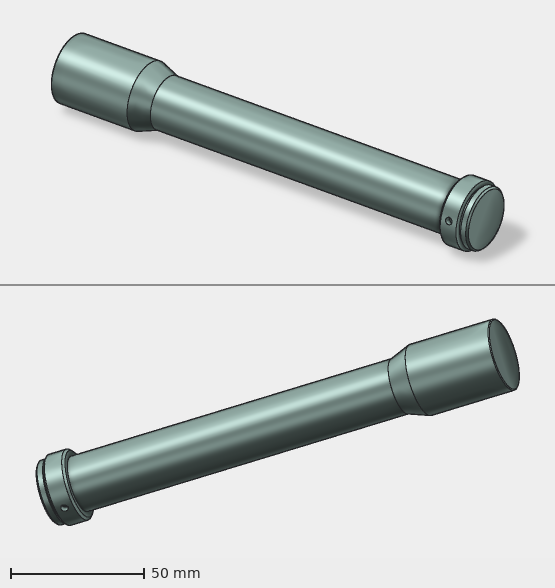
import cadquery as cq
import math

total_length = 188.0
head_length = 34.5
cone_length = 8.5
collar_start = 175.5
collar_end = 183.7
flange_start = 185.0

head_diameter = 28.0
head_radius = head_diameter / 2
tube_radius = 10.9
collar_radius = head_radius
groove_radius = 11.7
flange_radius = 12.8

head_chamfer = 0.4
collar_chamfer = 1.0
flange_chamfer = 0.8

hole_count = 3
hole_diameter = 2.8
hole_depth = 2.8
hole_first_angle = 45.0
hole_station = 180.1


def make_body():
    """Revolve the stepped half-profile about the X axis."""
    profile = [
        (0, 0),
        (0, head_radius - head_chamfer),
        (head_chamfer, head_radius),
        (head_length, head_radius),
        (head_length + cone_length, tube_radius),
        (collar_start, tube_radius),
        (collar_start, collar_radius - collar_chamfer),
        (collar_start + collar_chamfer, collar_radius),
        (collar_end, collar_radius),
        (collar_end, groove_radius),
        (flange_start, groove_radius),
        (flange_start, flange_radius),
        (total_length - flange_chamfer, flange_radius),
        (total_length, flange_radius - flange_chamfer),
        (total_length, 0),
    ]
    return cq.Workplane("XY").polyline(profile).close().revolve(360, (0, 0, 0), (1, 0, 0))


def make_collar_hole(angle):
    """Blind radial hole cutter reaching from the collar surface inward."""
    outward_y = math.cos(math.radians(angle))
    outward_z = math.sin(math.radians(angle))
    mouth = cq.Vector(hole_station, collar_radius * outward_y, collar_radius * outward_z)
    inward = cq.Vector(0, -outward_y, -outward_z)
    return cq.Solid.makeCylinder(hole_diameter / 2, hole_depth, mouth, inward)


result = make_body()
for index in range(hole_count):
    result = result.cut(make_collar_hole(hole_first_angle + index * 360 / hole_count))